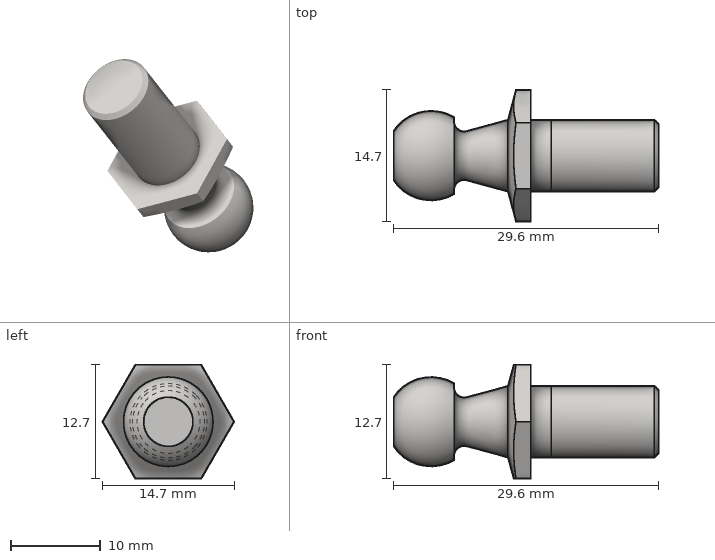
import cadquery as cq
import math

ball_back = 6.74
cone_start = 8.12
flange_front = 12.73
flange_back = 15.27
thread_start = 17.55
total_length = 29.55

ball_radius = 5.0
ball_flat_radius = 2.75
ball_center = math.sqrt(ball_radius**2 - ball_flat_radius**2)
ball_back_radius = math.sqrt(ball_radius**2 - (ball_back - ball_center) ** 2)
neck_radius = 2.75

across_flats = 12.7
across_corners = across_flats / math.cos(math.radians(30))
flange_cone_angle = 15.0

shank_radius = 8.0 / 2
end_chamfer = 0.5


def make_ball_and_neck():
    """Truncated ball, grooved neck and cone as one revolved profile."""
    cone_angle = math.atan((shank_radius - neck_radius) / (flange_front - cone_start))
    groove_radius = (cone_start - ball_back) / (1 + math.sin(cone_angle))
    groove_center_x = ball_back + groove_radius
    groove_center_radius = neck_radius + groove_radius * math.cos(cone_angle)
    groove_middle = (
        groove_center_x - groove_radius * math.sqrt(0.5),
        groove_center_radius - groove_radius * math.sqrt(0.5),
    )
    profile = (
        cq.Workplane("XY")
        .moveTo(0, 0)
        .lineTo(0, ball_flat_radius)
        .threePointArc((ball_center, ball_radius), (ball_back, ball_back_radius))
        .lineTo(ball_back, groove_center_radius)
        .threePointArc(groove_middle, (cone_start, neck_radius))
        .lineTo(flange_front, shank_radius)
        .lineTo(flange_front, 0)
        .close()
    )
    return profile.revolve(360, (0, 0, 0), (1, 0, 0))


def make_flange():
    """Hexagonal prism whose front is cut to a shallow cone around the neck."""
    prism = (
        cq.Workplane("YZ")
        .workplane(offset=flange_front)
        .polygon(6, across_corners)
        .extrude(flange_back - flange_front)
    )
    envelope_radius = across_corners
    cone_depth = (envelope_radius - shank_radius) * math.tan(math.radians(flange_cone_angle))
    envelope = (
        cq.Workplane("XY")
        .moveTo(flange_front, 0)
        .lineTo(flange_front, shank_radius)
        .lineTo(flange_front + cone_depth, envelope_radius)
        .lineTo(flange_back, envelope_radius)
        .lineTo(flange_back, 0)
        .close()
        .revolve(360, (0, 0, 0), (1, 0, 0))
    )
    return prism.intersect(envelope)


def make_cylinder(start, end):
    """Cylinder of the shank diameter between two axial stations."""
    return cq.Workplane("YZ").workplane(offset=start).circle(shank_radius).extrude(end - start)


def make_ball_stud():
    """Ball, neck, flange and plain shank, ending where the threaded end begins."""
    shank = make_cylinder(flange_back, thread_start)
    return make_ball_and_neck().union(make_flange()).union(shank)


def make_threaded_end():
    """Plain cylinder standing for the thread, chamfered at its free end."""
    return make_cylinder(thread_start, total_length).faces(">X").chamfer(end_chamfer)


ball_stud = make_ball_stud()
threaded_end = make_threaded_end()

result = cq.Compound.makeCompound([ball_stud.val(), threaded_end.val()])